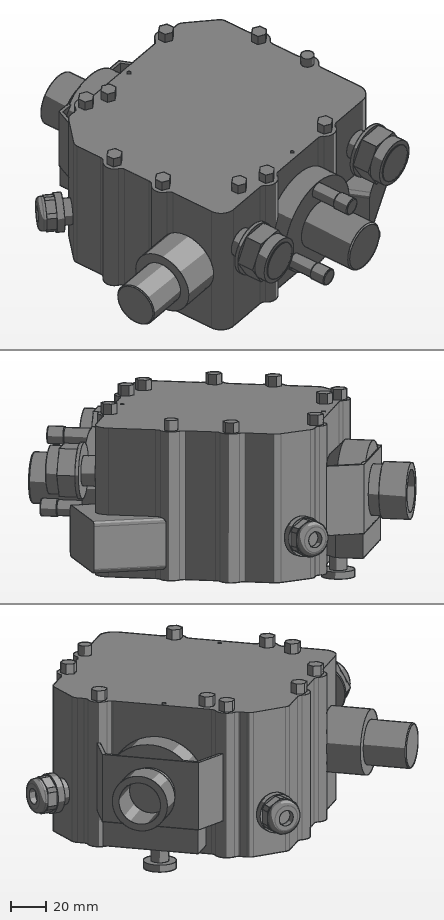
import cadquery as cq
import math

HOUSING_X = 124.0
HOUSING_Y = 139.0
HOUSING_Z = 86.0
CHAMFER_LEG = 17.5
CHAMFER_BLEND = 5.0
CORNER_RADIUS = 9.0
FACE_X = HOUSING_X / 2
FACE_Y = HOUSING_Y / 2

COLUMN_RADIUS = 6.5
COLUMN_INSET = 1.7
COLUMN_BLEND = 3.5
COLUMN_ROOT = 5.0
SIDE_COLUMN_X = 17.2
LEFT_COLUMN_Y = 37.5
RIGHT_COLUMN_Y = 27.3
SCREW_HEIGHT = 6.0
SCREW_FLATS = 8.0
ROUND_SCREW_DIAMETER = 7.6
EXTRA_SCREWS = [(-54.4, -24.3), (53.4, -44.1)]
LID_HOLES = [(-58.2, 2.5), (57.7, 2.0)]
LID_HOLE_DEPTH = 3.0

AXIS_Z = 41.8
PIPE_DIAMETER = 29.3

INLET_TIP_X = -108.5
INLET_RIM_DIAMETER = 32.4
INLET_RIM_LENGTH = 15.6
INLET_BORE = 24.4
BLOCK_FRONT_X = -86.0
BLOCK_RADIUS = 28.0
BLOCK_BOTTOM_Z = 7.4
BLOCK_CHAMFER = 8.2
BRACKET_FRONT_X = -86.6
BRACKET_SHEET = 2.0
BRACKET_HEIGHT = 40.0
BRACKET_HALF_WIDTH = 28.2
BRACKET_LEG_END = (-66.0, 37.4)
FOOT_X = -66.7
FOOT_ROD_DIAMETER = 10.11
FOOT_DIAMETER = 18.8
FOOT_THICKNESS = 4.2
FOOT_BOTTOM_Z = -8.9

OUTLET_TIP_X = 109.06
OUTLET_CHAMFER = 0.8
OUTLET_FLANGE_DIAMETER = 60.0
OUTLET_FLANGE_LENGTH = 13.4
PIN_COUNT = 3
PIN_CIRCLE_RADIUS = 25.0
PIN_DIAMETER = 9.06
PIN_LENGTH = 15.0
PIN_HEAD_DIAMETER = 10.11
PIN_HEAD_LENGTH = 9.9
PIN_HEAD_CHAMFER = 0.5

LARGE_GLAND_Y = 54.1
LARGE_GLAND_Z = 57.8
LARGE_STEM = (17.31, 8.1)
LARGE_WASHER = (32.13, 2.1)
LARGE_NUT_FLATS = 27.72
LARGE_NUT_LENGTH = 10.5
LARGE_CAP = (27.72, 6.6)
LARGE_RIM = (22.71, 0.7)

SMALL_GLAND_Z = 26.8
SMALL_STEM = (15.45, 5.1)
SMALL_WASHER = (22.71, 4.3)
SMALL_NUT_FLATS = 19.9
SMALL_NUT_CORNERS = 21.3
SMALL_NUT_LENGTH = 5.8
SMALL_CAP = (19.9, 4.2)
SMALL_CAP_ROUND = 2.6
SMALL_GLAND_BORE = 9.06
SMALL_GLAND_BORE_DEPTH = 4.0

BARREL_X = 36.7
BARREL_GAP = 1.3
BARREL_DIAMETER = 37.7
BARREL_LENGTH = 23.3
BARREL_TIP_Y = -119.3
BARREL_TIP_DIAMETER = 26.0
BARREL_TIP_CHAMFER = 0.6

SLANT_CORNER = (57.2, 91.84)
SLANT_ANGLE = 25.0
SLANT_LENGTH = 46.0
SLANT_DEPTH = 53.0
SLANT_BOTTOM_Z = 6.1
SLANT_HEIGHT = 29.8
SLANT_ROUND = 2.5


def rod(diameter, start, length, direction):
    """Cylinder starting at a point and growing along a direction."""
    return cq.Workplane(
        cq.Solid.makeCylinder(diameter / 2, length, cq.Vector(*start), cq.Vector(*direction))
    )


def x_rod(diameter, start_x, end_x, y=0.0, z=AXIS_Z):
    return rod(diameter, (start_x, y, z), end_x - start_x, (1, 0, 0))


def hex_prism(flats, length):
    """Hexagon along Z with two corners on the X axis."""
    return cq.Workplane("XY").polygon(6, flats / math.cos(math.pi / 6)).extrude(length)


def column_places():
    """Each wall column as wall point (x, y) and outward angle in degrees."""
    places = []
    for x in (-SIDE_COLUMN_X, SIDE_COLUMN_X):
        places.append((x, FACE_Y, 90))
        places.append((x, -FACE_Y, -90))
    for side in (-1, 1):
        places.append((-FACE_X, side * LEFT_COLUMN_Y, 180))
        places.append((FACE_X, side * RIGHT_COLUMN_Y, 0))
    return places


def screw_centre(x, y, angle):
    turn = math.radians(angle)
    return (x - COLUMN_INSET * math.cos(turn), y - COLUMN_INSET * math.sin(turn))


def make_column(x, y, angle):
    """Rounded column with hollow blends running out into the wall."""
    reach = COLUMN_RADIUS + COLUMN_BLEND
    rise = COLUMN_INSET + COLUMN_BLEND
    half_width = math.sqrt(reach ** 2 - rise ** 2)
    touch_x = rise * COLUMN_RADIUS / reach - COLUMN_INSET
    touch_y = half_width * COLUMN_RADIUS / reach
    column = (
        cq.Workplane("XY")
        .moveTo(-COLUMN_ROOT, -half_width)
        .lineTo(0, -half_width)
        .radiusArc((touch_x, -touch_y), COLUMN_BLEND)
        .threePointArc((COLUMN_RADIUS - COLUMN_INSET, 0), (touch_x, touch_y))
        .radiusArc((0, half_width), COLUMN_BLEND)
        .lineTo(-COLUMN_ROOT, half_width)
        .close()
        .extrude(HOUSING_Z)
    )
    return column.rotate((0, 0, 0), (0, 0, 1), angle).translate((x, y, 0))


def make_housing():
    body = cq.Workplane("XY").box(HOUSING_X, HOUSING_Y, HOUSING_Z, centered=(True, True, False))
    body = body.edges("|Z and >X").fillet(CORNER_RADIUS)
    body = body.edges("|Z and <X").chamfer(CHAMFER_LEG)
    left_half = cq.selectors.BoxSelector(
        (-FACE_X - 1, -FACE_Y - 1, 0), (-FACE_X + CHAMFER_LEG + 1, FACE_Y + 1, HOUSING_Z)
    )
    body = body.edges("|Z").edges(left_half).fillet(CHAMFER_BLEND)
    for place in column_places():
        body = body.union(make_column(*place))
    for x, diameter in LID_HOLES:
        body = body.cut(rod(diameter, (x, 0, HOUSING_Z), LID_HOLE_DEPTH, (0, 0, -1)))
    return body


def make_screws():
    """Hexagon heads on the lid; the +X column of the +Y wall has a round head."""
    round_place = (SIDE_COLUMN_X, FACE_Y, 90)
    centres = [screw_centre(*place) for place in column_places() if place != round_place]
    round_x, round_y = screw_centre(*round_place)
    screws = rod(ROUND_SCREW_DIAMETER, (round_x, round_y, HOUSING_Z), SCREW_HEIGHT, (0, 0, 1))
    for x, y in centres + EXTRA_SCREWS:
        screws = screws.union(hex_prism(SCREW_FLATS, SCREW_HEIGHT).translate((x, y, HOUSING_Z)))
    return screws


def make_inlet_block():
    """Round-topped block, bevelled towards the housing on its sides and top."""
    block = (
        cq.Workplane("YZ", origin=(BLOCK_FRONT_X, 0, 0))
        .moveTo(-BLOCK_RADIUS, BLOCK_BOTTOM_Z)
        .lineTo(BLOCK_RADIUS, BLOCK_BOTTOM_Z)
        .lineTo(BLOCK_RADIUS, AXIS_Z)
        .threePointArc((0, AXIS_Z + BLOCK_RADIUS), (-BLOCK_RADIUS, AXIS_Z))
        .close()
        .extrude(-FACE_X - BLOCK_FRONT_X)
    )
    return block.faces(">X").edges("not <Z").chamfer(BLOCK_CHAMFER)


def make_bracket():
    """Bent sheet: a front plate with two legs splayed back to the columns."""
    end_x, end_y = BRACKET_LEG_END
    splay = math.atan2(end_y - BRACKET_HALF_WIDTH, end_x - BRACKET_FRONT_X)
    step_x = BRACKET_SHEET * math.sin(splay)
    step_y = BRACKET_SHEET * math.cos(splay)
    inner_x = BRACKET_FRONT_X + BRACKET_SHEET
    inner_y = BRACKET_HALF_WIDTH - BRACKET_SHEET * (1 - math.sin(splay)) / math.cos(splay)
    half = [
        (BRACKET_FRONT_X, BRACKET_HALF_WIDTH),
        (end_x, end_y),
        (end_x + step_x, end_y - step_y),
        (inner_x, inner_y),
    ]
    mirrored = [(x, -y) for x, y in reversed(half)]
    return (
        cq.Workplane("XY", origin=(0, 0, AXIS_Z - BRACKET_HEIGHT / 2))
        .polyline(half + mirrored)
        .close()
        .extrude(BRACKET_HEIGHT)
    )


def make_inlet():
    rim_end = INLET_TIP_X + INLET_RIM_LENGTH
    inlet = x_rod(INLET_RIM_DIAMETER, INLET_TIP_X, rim_end)
    inlet = inlet.union(x_rod(PIPE_DIAMETER, rim_end, BLOCK_FRONT_X))
    inlet = inlet.cut(x_rod(INLET_BORE, INLET_TIP_X, BRACKET_FRONT_X))
    return inlet.union(make_inlet_block()).union(make_bracket())


def make_foot():
    rod_length = AXIS_Z - FOOT_BOTTOM_Z
    foot = rod(FOOT_DIAMETER, (FOOT_X, 0, FOOT_BOTTOM_Z), FOOT_THICKNESS, (0, 0, 1))
    return foot.union(rod(FOOT_ROD_DIAMETER, (FOOT_X, 0, FOOT_BOTTOM_Z), rod_length, (0, 0, 1)))


def make_outlet():
    flange_end = FACE_X + OUTLET_FLANGE_LENGTH
    outlet = x_rod(PIPE_DIAMETER, FACE_X, OUTLET_TIP_X).faces(">X").chamfer(OUTLET_CHAMFER)
    outlet = outlet.union(x_rod(OUTLET_FLANGE_DIAMETER, FACE_X, flange_end))
    head_start = flange_end + PIN_LENGTH
    for index in range(PIN_COUNT):
        turn = 2 * math.pi * index / PIN_COUNT
        y = PIN_CIRCLE_RADIUS * math.sin(turn)
        z = AXIS_Z + PIN_CIRCLE_RADIUS * math.cos(turn)
        pin = x_rod(PIN_DIAMETER, flange_end, head_start, y, z)
        head = x_rod(PIN_HEAD_DIAMETER, head_start, head_start + PIN_HEAD_LENGTH, y, z)
        outlet = outlet.union(pin).union(head.faces("<X or >X").chamfer(PIN_HEAD_CHAMFER))
    return outlet


def stack(body, diameter, length):
    """Add a disc on the end of a body that grows along +Z."""
    top = body.val().BoundingBox().zmax
    return body.union(rod(diameter, (0, 0, top), length, (0, 0, 1)))


def make_large_gland():
    """Gland along +Z: stem, washer, hexagon nut, cap and end rim."""
    stem_diameter, stem_length = LARGE_STEM
    gland = stack(rod(stem_diameter, (0, 0, 0), stem_length, (0, 0, 1)), *LARGE_WASHER)
    nut_start = stem_length + LARGE_WASHER[1]
    nut = hex_prism(LARGE_NUT_FLATS, LARGE_NUT_LENGTH).rotate((0, 0, 0), (0, 0, 1), 90)
    gland = gland.union(nut.translate((0, 0, nut_start)))
    return stack(stack(gland, *LARGE_CAP), *LARGE_RIM)


def make_small_gland():
    """Gland along +Z: stem, washer, corner-trimmed nut and rounded, bored cap."""
    stem_diameter, stem_length = SMALL_STEM
    gland = stack(rod(stem_diameter, (0, 0, 0), stem_length, (0, 0, 1)), *SMALL_WASHER)
    nut_start = stem_length + SMALL_WASHER[1]
    trim = hex_prism(SMALL_NUT_CORNERS, SMALL_NUT_LENGTH).rotate((0, 0, 0), (0, 0, 1), 30)
    nut = hex_prism(SMALL_NUT_FLATS, SMALL_NUT_LENGTH).intersect(trim)
    gland = gland.union(nut.translate((0, 0, nut_start)))
    gland = stack(gland, *SMALL_CAP).faces(">Z").edges().fillet(SMALL_CAP_ROUND)
    tip = nut_start + SMALL_NUT_LENGTH + SMALL_CAP[1]
    return gland.cut(rod(SMALL_GLAND_BORE, (0, 0, tip), SMALL_GLAND_BORE_DEPTH, (0, 0, -1)))


def make_glands():
    glands = []
    for side in (-1, 1):
        large = make_large_gland().rotate((0, 0, 0), (0, 1, 0), 90)
        glands.append(large.translate((FACE_X, side * LARGE_GLAND_Y, LARGE_GLAND_Z)))
        small = make_small_gland().rotate((0, 0, 0), (0, 1, 0), -90)
        small = small.rotate((0, 0, 0), (0, 0, 1), -45 * side)
        cut_x = -FACE_X + CHAMFER_LEG / 2
        cut_y = FACE_Y - CHAMFER_LEG / 2
        glands.append(small.translate((cut_x, side * cut_y, SMALL_GLAND_Z)))
    return glands


def make_barrel():
    start = (BARREL_X, -FACE_Y - BARREL_GAP, AXIS_Z)
    barrel = rod(BARREL_DIAMETER, start, BARREL_LENGTH, (0, -1, 0))
    tip = rod(BARREL_TIP_DIAMETER, start, start[1] - BARREL_TIP_Y, (0, -1, 0))
    return barrel.union(tip.faces("<Y").chamfer(BARREL_TIP_CHAMFER))


def make_slanted_block():
    """Block hung from its outer corner and turned about it, long edges rounded."""
    block = cq.Workplane("XY").box(SLANT_LENGTH, SLANT_DEPTH, SLANT_HEIGHT, centered=False)
    block = block.edges("|X").fillet(SLANT_ROUND)
    block = block.translate((-SLANT_LENGTH, -SLANT_DEPTH, SLANT_BOTTOM_Z))
    block = block.rotate((0, 0, 0), (0, 0, 1), SLANT_ANGLE)
    return block.translate((SLANT_CORNER[0], SLANT_CORNER[1], 0))


result = make_housing()
for piece in [
    make_screws(),
    make_inlet(),
    make_foot(),
    make_outlet(),
    *make_glands(),
    make_barrel(),
    make_slanted_block(),
]:
    result = result.union(piece)